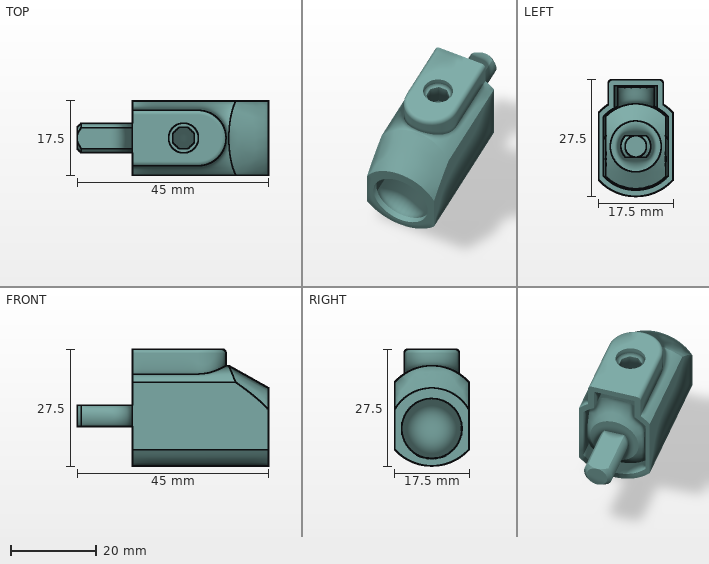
import cadquery as cq
import math


TOTAL_LENGTH = 45.0
SHAFT_LENGTH = 13.0
HOUSING_LENGTH = TOTAL_LENGTH - SHAFT_LENGTH
HOUSING_WIDTH = 17.5
HOUSING_RADIUS = 11.8
WALL = 1.5
SIDE_WALL = 1.1

HUMP_TOP = 15.7
HUMP_WIDTH = 13.0
HUMP_LENGTH = 22.0
HUMP_EDGE_RADIUS = 1.0
HUMP_CAVITY_CORNER_RADIUS = 3.95
ACCESS_HOLE_DIAMETER = 7.0
ACCESS_X = 12.0

TAPER_ANGLE = 29.2
TAPER_AXIS_Z = -3.45
TAPER_END_RADIUS = 10.05
REAR_HOLE_RADIUS = 7.05
REAR_HOLE_Z = -2.95

SHAFT_DIAMETER = 7.0
SHAFT_THICKNESS = 5.0
SHAFT_TIP_CHAMFER = 1.0
PLUNGER_RADIUS = 10.0
PLUNGER_FACE_RADIUS = 6.0
PLUNGER_TAPER_LENGTH = 3.5
PLUNGER_WIDTH = 14.0
PLUNGER_LENGTH = 20.0
TURRET_DIAMETER = 8.6
TURRET_TOP = 13.85
SOCKET_ACROSS_FLATS = 5.1
SOCKET_DEPTH = 5.0
SOCKET_SIDES = 8


def flat_sided_bar(length, radius, width):
    """Bar along +X from x = 0: a cylinder trimmed to a width in Y."""
    bar = cq.Workplane("YZ").circle(radius).extrude(length)
    slab = cq.Workplane("YZ").rect(width, 2 * radius).extrude(length)
    return bar.intersect(slab)


def rear_taper(length, end_radius):
    """Cone along +X that narrows to end_radius at x = length."""
    front_radius = end_radius + length * math.tan(math.radians(TAPER_ANGLE))
    return (
        cq.Workplane("XY")
        .polyline([(0, 0), (0, front_radius), (length, end_radius), (length, 0)])
        .close()
        .revolve(360, (0, 0, 0), (1, 0, 0))
        .translate((0, 0, TAPER_AXIS_Z))
    )


def make_hump():
    """Round-ended hump with a rounded top edge and a square front edge."""
    end_radius = HUMP_WIDTH / 2
    straight_length = HUMP_LENGTH - end_radius
    hump = (
        cq.Workplane("XY")
        .moveTo(0, -end_radius)
        .lineTo(straight_length, -end_radius)
        .threePointArc((HUMP_LENGTH, 0), (straight_length, end_radius))
        .lineTo(0, end_radius)
        .close()
        .extrude(HUMP_TOP)
    )
    return hump.faces(">Z").edges("not <X").fillet(HUMP_EDGE_RADIUS)


def make_hump_cavity():
    """Recess inside the hump, open at the front, with rounded rear corners."""
    length = HUMP_LENGTH - WALL
    width = HUMP_WIDTH - 2 * WALL
    cavity = cq.Workplane("XY").box(
        length, width, HUMP_TOP - WALL, centered=(False, True, False)
    )
    return cavity.edges("|Z and >X").fillet(HUMP_CAVITY_CORNER_RADIUS)


def make_main_cavity():
    """Main recess, one wall thickness inside the housing and its taper."""
    length = HOUSING_LENGTH - WALL
    slope = math.radians(TAPER_ANGLE)
    end_radius = TAPER_END_RADIUS + WALL * math.tan(slope) - WALL / math.cos(slope)
    cavity = flat_sided_bar(length, HOUSING_RADIUS - WALL, HOUSING_WIDTH - 2 * SIDE_WALL)
    return cavity.intersect(rear_taper(length, end_radius))


def make_housing():
    shell = flat_sided_bar(HOUSING_LENGTH, HOUSING_RADIUS, HOUSING_WIDTH)
    shell = shell.intersect(rear_taper(HOUSING_LENGTH, TAPER_END_RADIUS))
    shell = shell.union(make_hump())
    shell = shell.cut(make_main_cavity()).cut(make_hump_cavity())
    access_hole = (
        cq.Workplane("XY").center(ACCESS_X, 0).circle(ACCESS_HOLE_DIAMETER / 2).extrude(HUMP_TOP)
    )
    rear_hole = (
        cq.Workplane("YZ", origin=(HOUSING_LENGTH, 0, REAR_HOLE_Z))
        .circle(REAR_HOLE_RADIUS)
        .extrude(-WALL)
    )
    return shell.cut(access_hole).cut(rear_hole)


def make_shaft():
    """Shaft with a chamfered tip and flats on its top and bottom."""
    shaft = (
        cq.Workplane("YZ")
        .circle(SHAFT_DIAMETER / 2)
        .extrude(-SHAFT_LENGTH)
        .faces("<X")
        .chamfer(SHAFT_TIP_CHAMFER)
    )
    flats = cq.Workplane("YZ").rect(SHAFT_DIAMETER, SHAFT_THICKNESS).extrude(-SHAFT_LENGTH)
    return shaft.intersect(flats)


def make_plunger_head():
    """Round head with a tapered front and flat sides."""
    head = flat_sided_bar(PLUNGER_LENGTH, PLUNGER_RADIUS, PLUNGER_WIDTH)
    envelope = (
        cq.Workplane("XY")
        .moveTo(0, 0)
        .lineTo(0, PLUNGER_FACE_RADIUS)
        .lineTo(PLUNGER_TAPER_LENGTH, PLUNGER_RADIUS)
        .lineTo(PLUNGER_LENGTH, PLUNGER_RADIUS)
        .lineTo(PLUNGER_LENGTH, 0)
        .close()
        .revolve(360, (0, 0, 0), (1, 0, 0))
    )
    return head.intersect(envelope)


def make_plunger():
    turret = cq.Workplane("XY").center(ACCESS_X, 0).circle(TURRET_DIAMETER / 2).extrude(TURRET_TOP)
    half_side_angle = 180 / SOCKET_SIDES
    socket_diameter = SOCKET_ACROSS_FLATS / math.cos(math.radians(half_side_angle))
    socket = (
        cq.Workplane("XY")
        .polygon(SOCKET_SIDES, socket_diameter)
        .extrude(-SOCKET_DEPTH)
        .rotate((0, 0, 0), (0, 0, 1), half_side_angle)
        .translate((ACCESS_X, 0, TURRET_TOP))
    )
    return make_plunger_head().union(make_shaft()).union(turret).cut(socket)


housing = make_housing()
plunger = make_plunger()
result = cq.Compound.makeCompound([housing.solids().val(), plunger.solids().val()])